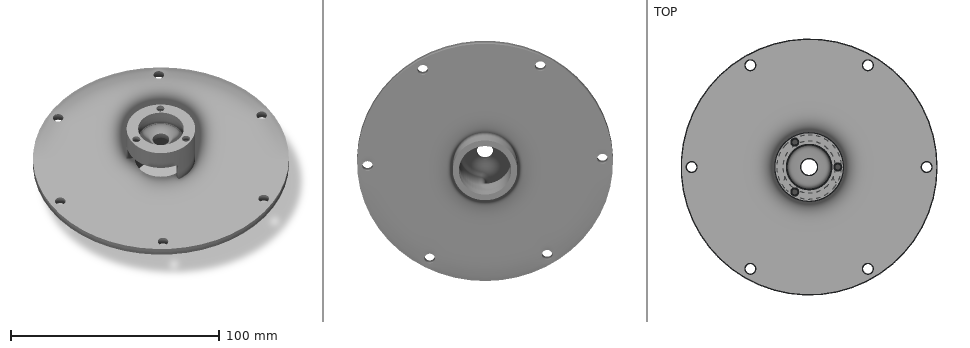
import cadquery as cq
import math

plate_diameter = 123.0
plate_thickness = 3.8
plate_hole_diameter = 5.0
plate_hole_circle_radius = 56.5
plate_hole_count = 6

hub_radius = 16.5
hub_height = 20.0
spigot_radius = 15.5
spigot_length = 10.2
cavity_radius = 12.5
cavity_ceiling_fillet = 2.0

window_height = 10.0
window_angle = 120.0
window_corner_fillet = 3.0

seat_radius = 11.0
seat_depth = 7.0
relief_radius = 10.6
relief_depth = 0.2
shaft_hole_diameter = 8.0

screw_count = 3
screw_circle_radius = 13.8
screw_head_diameter = 3.8
screw_head_depth = 3.0
screw_hole_diameter = 3.0
screw_hole_depth = 7.0

plate_bottom = spigot_length
plate_top = plate_bottom + plate_thickness
cavity_ceiling = plate_top + window_height
hub_top = plate_top + hub_height
seat_floor = hub_top - seat_depth


def cylinder(radius, bottom, top):
    """Vertical cylinder on the part axis."""
    return cq.Workplane("XY").workplane(offset=bottom).circle(radius).extrude(top - bottom)


def hole_pattern(count, circle_radius, diameter, bottom, top):
    """Equally spaced vertical cylinders, the first one on +X."""
    return (
        cq.Workplane("XY").workplane(offset=bottom)
        .polarArray(circle_radius, 0, 360, count)
        .circle(diameter / 2).extrude(top - bottom)
    )


def window_sector():
    """Wedge from the part axis out past the hub wall, with radial sides."""
    reach = 2 * hub_radius
    half_angle = math.radians(window_angle / 2)
    side_x = reach * math.sin(half_angle)
    side_y = -reach * math.cos(half_angle)
    return (
        cq.Workplane("XY").workplane(offset=plate_top)
        .moveTo(0, 0).lineTo(-side_x, side_y)
        .threePointArc((0, -reach), (side_x, side_y))
        .close().extrude(window_height)
    )


def cavity_and_window():
    """Round cavity opening into the window, rounded at the mouth and ceiling."""
    void = cylinder(cavity_radius, plate_top, cavity_ceiling).union(window_sector())
    mouth_x = cavity_radius * math.sin(math.radians(window_angle / 2))
    mouth_y = -cavity_radius * math.cos(math.radians(window_angle / 2))
    middle = (plate_top + cavity_ceiling) / 2
    for side in (-1, 1):
        corner = cq.selectors.NearestToPointSelector((side * mouth_x, mouth_y, middle))
        void = void.edges("|Z").edges(corner).fillet(window_corner_fillet)
    return void.faces(">Z").edges().fillet(cavity_ceiling_fillet)


body = cylinder(plate_diameter / 2, plate_bottom, plate_top)
body = body.union(cylinder(spigot_radius, 0, plate_bottom))
body = body.union(cylinder(hub_radius, plate_top, hub_top))

body = body.cut(cavity_and_window())
body = body.cut(cylinder(cavity_radius, 0, plate_top))

body = body.cut(cylinder(seat_radius, seat_floor, hub_top))
body = body.cut(cylinder(relief_radius, seat_floor - relief_depth, seat_floor))
body = body.cut(cylinder(shaft_hole_diameter / 2, cavity_ceiling, seat_floor))

for diameter, depth in (
    (screw_head_diameter, screw_head_depth),
    (screw_hole_diameter, screw_hole_depth),
):
    body = body.cut(
        hole_pattern(screw_count, screw_circle_radius, diameter, hub_top - depth, hub_top)
    )
result = body.cut(
    hole_pattern(
        plate_hole_count, plate_hole_circle_radius, plate_hole_diameter, plate_bottom, plate_top
    )
)